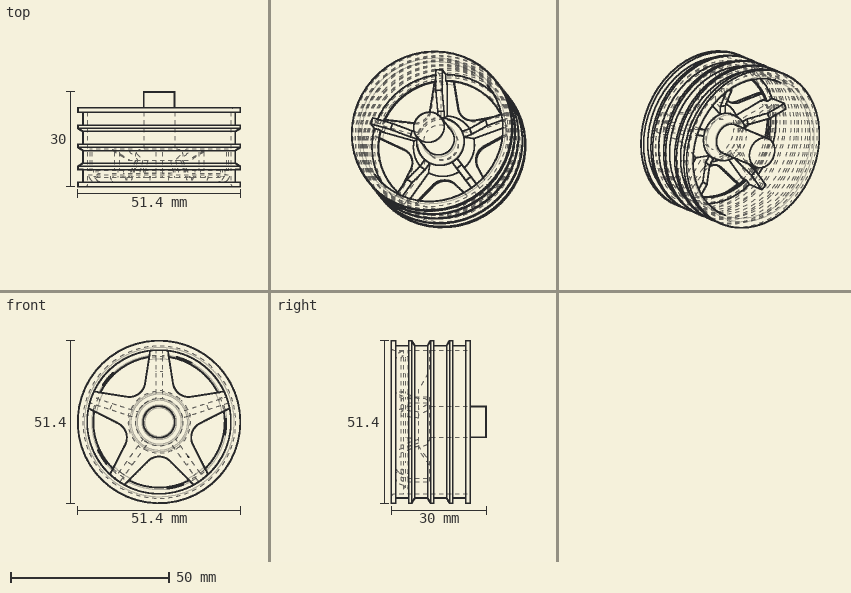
import cadquery as cq
import math


RIM_WIDTH = 25.0
FLANGE_RADIUS = 51.4 / 2
BARREL_RADIUS = 48.2 / 2
BORE_RADIUS = 45.4 / 2
FLANGE_THICKNESS = 1.5
MOUTH_FILLET = 0.9

CREST_WIDTH = 1.0
SLOPE_WIDTH = 1.0
BARREL_RIBS = [(5.5, 1), (12.5, -1), (18.5, -1)]

LEDGE_FRONT = 3.8
LEDGE_BACK = 5.3
LEDGE_RADIUS = 20.7
LEDGE_FILLET = 0.6

SPOKE_COUNT = 5
SPOKE_STEP = 360 / SPOKE_COUNT
SPOKE_FRONT = 1.5
SPOKE_THICKNESS = 1.5
SPOKE_BACK = SPOKE_FRONT + SPOKE_THICKNESS
SPOKE_TAPER_ANGLE = 9.0
TIP_HALF_WIDTH = 3.2
TIP_OUTER_ROUND = 2.7
TIP_INNER_ROUND = TIP_OUTER_ROUND - SPOKE_THICKNESS
TIP_CENTRE_RADIUS = BORE_RADIUS - TIP_OUTER_ROUND
TIP_CENTRE_Y = SPOKE_FRONT + TIP_OUTER_ROUND
WINDOW_FILLET = 5.0

WEB_THICKNESS = 2.0
WEB_INNER_BACK = 8.5
WEB_OUTER_BACK = 12.0
WEB_SLOPE_START = 10.0
WEB_SLOPE_END = 16.0

HUB_FRONT_RADIUS = 9.8
HUB_RADIUS = 15.0 / 2
HUB_CONE_BACK = 8.5
HUB_BACK = 12.0
HUB_FILLET = 2.0

RECESS_MOUTH_RADIUS = 9.0
RECESS_FLOOR_RADIUS = 7.3
RECESS_FLOOR = 6.5
RECESS_FILLET = 0.5
BOSS_RADIUS = 10.0 / 2
BOSS_FRONT = 4.5
BOSS_FILLET = 0.5

SHAFT_RADIUS = 9.8 / 2
SHAFT_END = 30.0

SMALLEST_CIRCLE = cq.selectors.RadiusNthSelector(0)


def revolve(outline):
    """Close an outline of (radius, y) points and turn it about the wheel axis."""
    return outline.close().revolve(360, (0, 0, 0), (0, 1, 0))


def disc(radius, front, back):
    return cq.Workplane("XZ", origin=(0, front, 0)).circle(radius).extrude(front - back)


def ring(outer_radius, inner_radius, front, back):
    return disc(outer_radius, front, back).cut(disc(inner_radius, front, back))


def turn_to_spoke(body, index):
    return body.rotate((0, 0, 0), (0, 1, 0), SPOKE_STEP * index)


def make_barrel_rib(crest_front, slope_side):
    crest_back = crest_front + CREST_WIDTH
    foot_front = crest_front - SLOPE_WIDTH if slope_side < 0 else crest_front
    foot_back = crest_back + SLOPE_WIDTH if slope_side > 0 else crest_back
    return revolve(
        cq.Workplane("XY")
        .moveTo(BORE_RADIUS, foot_front)
        .lineTo(BARREL_RADIUS, foot_front)
        .lineTo(FLANGE_RADIUS, crest_front)
        .lineTo(FLANGE_RADIUS, crest_back)
        .lineTo(BARREL_RADIUS, foot_back)
        .lineTo(BORE_RADIUS, foot_back)
    )


def make_ledge():
    ledge = ring(BARREL_RADIUS, LEDGE_RADIUS, LEDGE_FRONT, LEDGE_BACK)
    return ledge.faces("<Y").edges(SMALLEST_CIRCLE).fillet(LEDGE_FILLET)


def make_rim():
    rim = ring(BARREL_RADIUS, BORE_RADIUS, 0, RIM_WIDTH)
    for flange_front in (0, RIM_WIDTH - FLANGE_THICKNESS):
        flange_back = flange_front + FLANGE_THICKNESS
        rim = rim.union(ring(FLANGE_RADIUS, BORE_RADIUS, flange_front, flange_back))
    rim = rim.edges(SMALLEST_CIRCLE).fillet(MOUTH_FILLET)
    for crest_front, slope_side in BARREL_RIBS:
        rim = rim.union(make_barrel_rib(crest_front, slope_side))
    return rim.union(make_ledge())


def make_star():
    """Star prism with straight tapered spokes and rounded corners between them."""
    taper = math.tan(math.radians(SPOKE_TAPER_ANGLE))
    half_step = math.radians(SPOKE_STEP / 2)
    half_width_at_axis = TIP_HALF_WIDTH + taper * TIP_CENTRE_RADIUS
    end_height = BARREL_RADIUS
    end_half_width = half_width_at_axis - taper * end_height
    notch_radius = half_width_at_axis / (math.sin(half_step) + taper * math.cos(half_step))

    corners = [
        (-end_half_width, end_height),
        (end_half_width, end_height),
        (notch_radius * math.sin(half_step), notch_radius * math.cos(half_step)),
    ]
    points = []
    for index in range(SPOKE_COUNT):
        sine = math.sin(2 * half_step * index)
        cosine = math.cos(2 * half_step * index)
        for x, z in corners:
            points.append((x * cosine + z * sine, z * cosine - x * sine))

    star = cq.Workplane("XZ", origin=(0, SPOKE_FRONT, 0)).polyline(points).close()
    star = star.extrude(SPOKE_FRONT - TIP_CENTRE_Y)
    reach = TIP_CENTRE_RADIUS / 2
    notches = cq.selectors.BoxSelector((-reach, 0, -reach), (reach, RIM_WIDTH, reach))
    return star.edges("|Y").edges(notches).fillet(WINDOW_FILLET)


def make_spokes():
    """Star plate trimmed to an even-thickness disc that curves back at the bore."""
    diagonal = math.sqrt(0.5)
    outer_step = TIP_OUTER_ROUND * diagonal
    inner_step = TIP_INNER_ROUND * diagonal
    curved_disc = revolve(
        cq.Workplane("XY")
        .moveTo(0, SPOKE_FRONT)
        .lineTo(TIP_CENTRE_RADIUS, SPOKE_FRONT)
        .threePointArc(
            (TIP_CENTRE_RADIUS + outer_step, TIP_CENTRE_Y - outer_step),
            (BORE_RADIUS, TIP_CENTRE_Y),
        )
        .lineTo(TIP_CENTRE_RADIUS + TIP_INNER_ROUND, TIP_CENTRE_Y)
        .threePointArc(
            (TIP_CENTRE_RADIUS + inner_step, TIP_CENTRE_Y - inner_step),
            (TIP_CENTRE_RADIUS, SPOKE_BACK),
        )
        .lineTo(0, SPOKE_BACK)
    )
    return make_star().intersect(curved_disc)


def make_webs():
    web_end = (BORE_RADIUS + BARREL_RADIUS) / 2
    web = (
        cq.Workplane("YZ")
        .moveTo(SPOKE_BACK, 0)
        .lineTo(WEB_INNER_BACK, 0)
        .lineTo(WEB_INNER_BACK, WEB_SLOPE_START)
        .lineTo(WEB_OUTER_BACK, WEB_SLOPE_END)
        .lineTo(WEB_OUTER_BACK, web_end)
        .lineTo(TIP_CENTRE_Y, web_end)
        .lineTo(SPOKE_BACK, TIP_CENTRE_RADIUS)
        .close()
        .extrude(WEB_THICKNESS / 2, both=True)
    )
    webs = web
    for index in range(1, SPOKE_COUNT):
        webs = webs.union(turn_to_spoke(web, index))
    return webs


def make_hub():
    hub = revolve(
        cq.Workplane("XY")
        .moveTo(0, SPOKE_FRONT)
        .lineTo(RECESS_MOUTH_RADIUS, SPOKE_FRONT)
        .lineTo(HUB_FRONT_RADIUS, SPOKE_BACK)
        .lineTo(HUB_RADIUS, HUB_CONE_BACK)
        .lineTo(HUB_RADIUS, HUB_BACK)
        .lineTo(0, HUB_BACK)
    )
    return hub.faces(">Y").edges().fillet(HUB_FILLET)


def make_recess():
    """Body to cut from the hub: a tapered cup that leaves the boss standing."""
    recess = revolve(
        cq.Workplane("XY")
        .moveTo(0, SPOKE_FRONT)
        .lineTo(RECESS_MOUTH_RADIUS, SPOKE_FRONT)
        .lineTo(RECESS_FLOOR_RADIUS, RECESS_FLOOR)
        .lineTo(0, RECESS_FLOOR)
    )
    recess = recess.faces(">Y").edges().fillet(RECESS_FILLET)
    boss = disc(BOSS_RADIUS, BOSS_FRONT, RECESS_FLOOR)
    boss = boss.faces("<Y").edges().fillet(BOSS_FILLET)
    recess = recess.cut(boss)
    boss_base = recess.faces(">Y").edges(SMALLEST_CIRCLE)
    return recess.newObject(boss_base.vals()).fillet(BOSS_FILLET)


def round_recess_mouth(wheel):
    mouth = cq.selectors.BoxSelector(
        (-HUB_FRONT_RADIUS, 0, -HUB_FRONT_RADIUS),
        (HUB_FRONT_RADIUS, SPOKE_BACK, HUB_FRONT_RADIUS),
        boundingbox=True,
    )
    return wheel.edges("%CIRCLE").edges(mouth).fillet(RECESS_FILLET)


wheel = make_rim().union(make_spokes()).union(make_webs()).union(make_hub())
wheel = round_recess_mouth(wheel.cut(make_recess()))
result = wheel.union(disc(SHAFT_RADIUS, HUB_BACK, SHAFT_END))